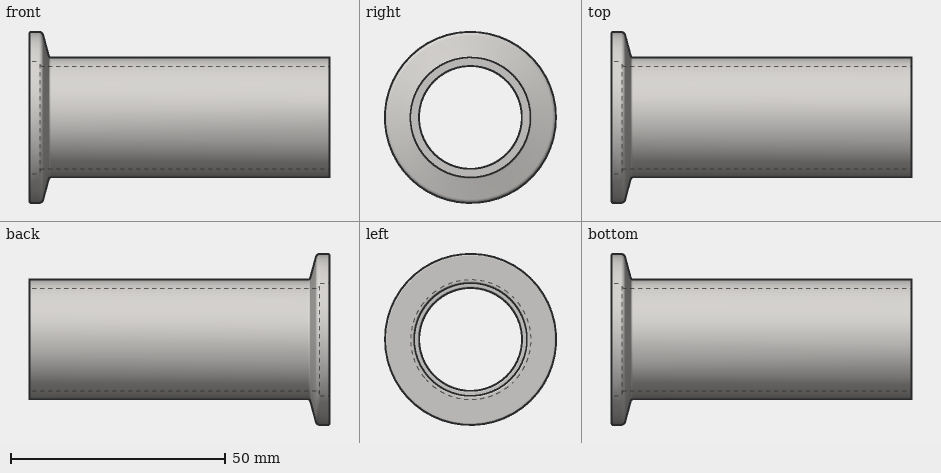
import cadquery as cq
import math

length = 70.0
flange_diameter = 40.0
flange_radius = flange_diameter / 2
tube_radius = 14.0
bore_radius = 12.0

edge_round = 0.5
back_round = 1.1
rim_end = 2.2
taper_angle = math.radians(15)

recess_radius = 13.15
recess_depth = 2.45
corner_round = 0.3


def along_circle(x, r, radius, angle):
    """Point on a circle around (x, r), the angle counted from the +X axis."""
    return (x + radius * math.cos(angle), r + radius * math.sin(angle))


back_centre = (rim_end, flange_radius - back_round)
back_middle = along_circle(*back_centre, back_round, (math.pi / 2 + taper_angle) / 2)
taper_top = along_circle(*back_centre, back_round, taper_angle)

root_centre_r = tube_radius + edge_round
taper_bottom_r = root_centre_r - edge_round * math.sin(taper_angle)
taper_bottom_x = taper_top[0] + (taper_top[1] - taper_bottom_r) * math.tan(taper_angle)
root_end = taper_bottom_x + edge_round * math.cos(taper_angle)
root_middle_angle = (3 * math.pi / 2 + math.pi + taper_angle) / 2
root_middle = along_circle(root_end, root_centre_r, edge_round, root_middle_angle)

front_middle = along_circle(
    edge_round, flange_radius - edge_round, edge_round, math.radians(135)
)
mouth_middle = along_circle(
    edge_round, recess_radius + edge_round, edge_round, math.radians(-135)
)
corner_middle = along_circle(
    recess_depth - corner_round, recess_radius - corner_round, corner_round, math.radians(45)
)
bore_edge_middle = along_circle(
    recess_depth + edge_round, bore_radius + edge_round, edge_round, math.radians(-135)
)

profile = (
    cq.Workplane("XY")
    .moveTo(0, recess_radius + edge_round)
    .lineTo(0, flange_radius - edge_round)
    .threePointArc(front_middle, (edge_round, flange_radius))
    .lineTo(rim_end, flange_radius)
    .threePointArc(back_middle, taper_top)
    .lineTo(taper_bottom_x, taper_bottom_r)
    .threePointArc(root_middle, (root_end, tube_radius))
    .lineTo(length, tube_radius)
    .lineTo(length, bore_radius)
    .lineTo(recess_depth + edge_round, bore_radius)
    .threePointArc(bore_edge_middle, (recess_depth, bore_radius + edge_round))
    .lineTo(recess_depth, recess_radius - corner_round)
    .threePointArc(corner_middle, (recess_depth - corner_round, recess_radius))
    .lineTo(edge_round, recess_radius)
    .threePointArc(mouth_middle, (0, recess_radius + edge_round))
    .close()
)

result = profile.revolve(360, (0, 0, 0), (1, 0, 0))